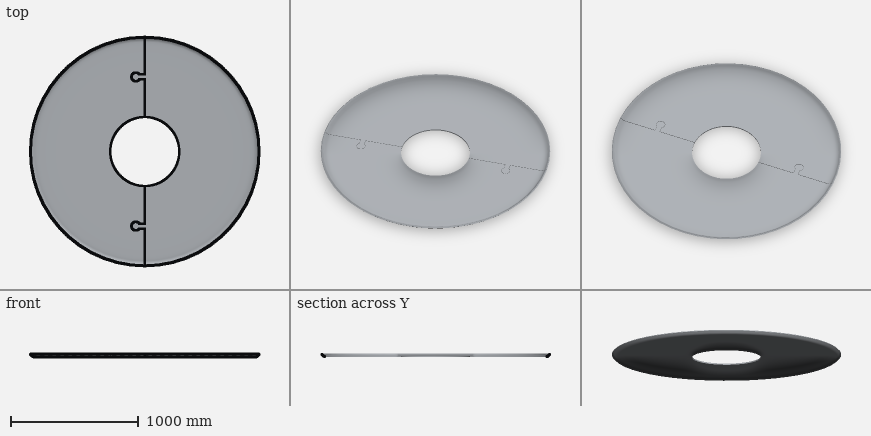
import cadquery as cq
import math

outer_radius = 900.0
hole_radius = 270.0
height = 30.0
plate_thickness = 10.0
inner_bend_radius = 30.0
flare_angle = 45.0

seam_width = 4.0
seam_depth = 5.0
tab_offset = 585.0
tab_head_x = -70.0
tab_head_radius = 35.0
tab_neck_width = 40.0

flare = math.radians(flare_angle)
outer_bend_radius = inner_bend_radius + plate_thickness
lip_base_z = height - plate_thickness * math.cos(flare)
rim_inner_radius = outer_radius - plate_thickness * math.sin(flare)

outer_bend_top_z = outer_bend_radius * (1 - math.cos(flare))
outer_bend_top_radius = outer_radius - (lip_base_z - outer_bend_top_z) / math.tan(flare)
bend_center_radius = outer_bend_top_radius - outer_bend_radius * math.sin(flare)


def bend_point(radius, angle):
    """Point on a bend arc, with angle measured from straight down."""
    return (
        bend_center_radius + radius * math.sin(angle),
        outer_bend_radius - radius * math.cos(angle),
    )


def dished_ring():
    """Flat ring with its edge bent up into a flared rim, revolved about Z."""
    profile = (
        cq.Workplane("XZ")
        .moveTo(hole_radius, 0)
        .lineTo(bend_center_radius, 0)
        .threePointArc(bend_point(outer_bend_radius, flare / 2), bend_point(outer_bend_radius, flare))
        .lineTo(outer_radius, lip_base_z)
        .lineTo(rim_inner_radius, height)
        .lineTo(*bend_point(inner_bend_radius, flare))
        .threePointArc(bend_point(inner_bend_radius, flare / 2), bend_point(inner_bend_radius, 0))
        .lineTo(hole_radius, plate_thickness)
        .close()
    )
    return profile.revolve(360, (0, 0), (0, 1))


def tab_shape(y, margin):
    """Round-headed tab reaching from the seam into the -X half, grown by margin."""
    neck_length = -tab_head_x + margin
    neck = (
        cq.Workplane("XY")
        .center(tab_head_x + neck_length / 2, y)
        .rect(neck_length, tab_neck_width + 2 * margin)
        .extrude(height)
    )
    head = cq.Workplane("XY").center(tab_head_x, y).circle(tab_head_radius + margin).extrude(height)
    return neck.union(head)


def seam():
    """Narrow channel along X = 0 that runs around both tabs."""
    half_width = seam_width / 2
    channel = cq.Workplane("XY").rect(seam_width, 2 * outer_radius).extrude(height)
    for y in (-tab_offset, tab_offset):
        channel = channel.union(tab_shape(y, half_width))
    for y in (-tab_offset, tab_offset):
        bridge = (
            cq.Workplane("XY")
            .center(0, y)
            .rect(2 * seam_width, tab_neck_width - seam_width)
            .extrude(height)
        )
        channel = channel.cut(tab_shape(y, -half_width)).cut(bridge)
    return channel


ring = dished_ring()
groove = seam().intersect(ring).cut(ring.translate((0, 0, -seam_depth)))
result = ring.cut(groove)